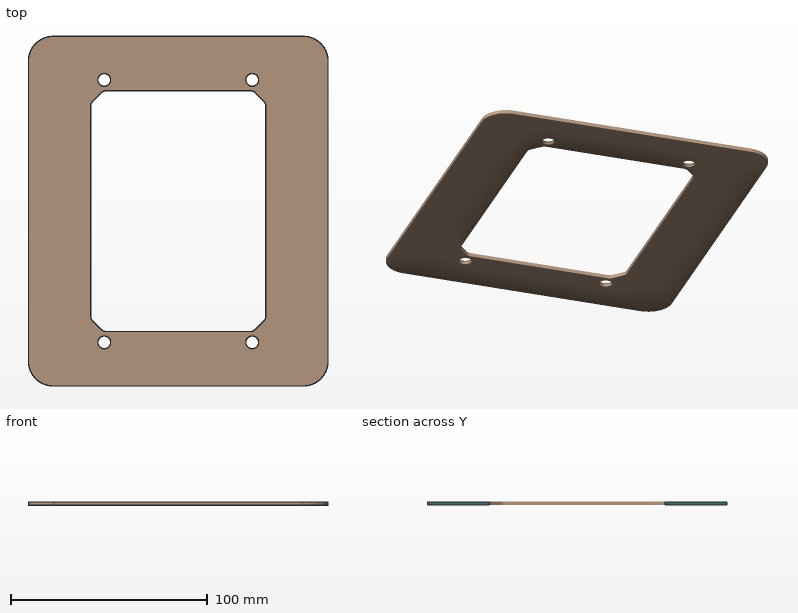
import cadquery as cq

PLATE_WIDTH = 152.4
PLATE_LENGTH = 177.8
PLATE_THICKNESS = 1.88
PLATE_CORNER_RADIUS = 12.7

WINDOW_WIDTH = 88.9
WINDOW_LENGTH = 122.174
WINDOW_CORNER_BEVEL = 6.38
WINDOW_BEVEL_BLEND_RADIUS = 3.2

HOLE_DIAMETER = 6.35
HOLE_SPACING_X = 75.184
HOLE_SPACING_Y = 133.35


def make_plate():
    """Plate with rounded vertical corners, centred through its thickness."""
    blank = cq.Workplane("XY").box(PLATE_WIDTH, PLATE_LENGTH, PLATE_THICKNESS)
    return blank.edges("|Z").fillet(PLATE_CORNER_RADIUS)


def make_window_cutter():
    """Block that cuts the window, with blended 45 degree bevels at its corners."""
    block = cq.Workplane("XY").box(WINDOW_WIDTH, WINDOW_LENGTH, PLATE_THICKNESS)
    bevelled_block = block.edges("|Z").chamfer(WINDOW_CORNER_BEVEL)
    return bevelled_block.edges("|Z").fillet(WINDOW_BEVEL_BLEND_RADIUS)


def drill_mounting_holes(plate):
    """Drill the four through holes, one near each corner of the window."""
    hole_pattern = plate.faces(">Z").workplane(origin=(0, 0, 0))
    hole_pattern = hole_pattern.rect(HOLE_SPACING_X, HOLE_SPACING_Y, forConstruction=True)
    return hole_pattern.vertices().hole(HOLE_DIAMETER)


framed_plate = make_plate().cut(make_window_cutter())
result = drill_mounting_holes(framed_plate)